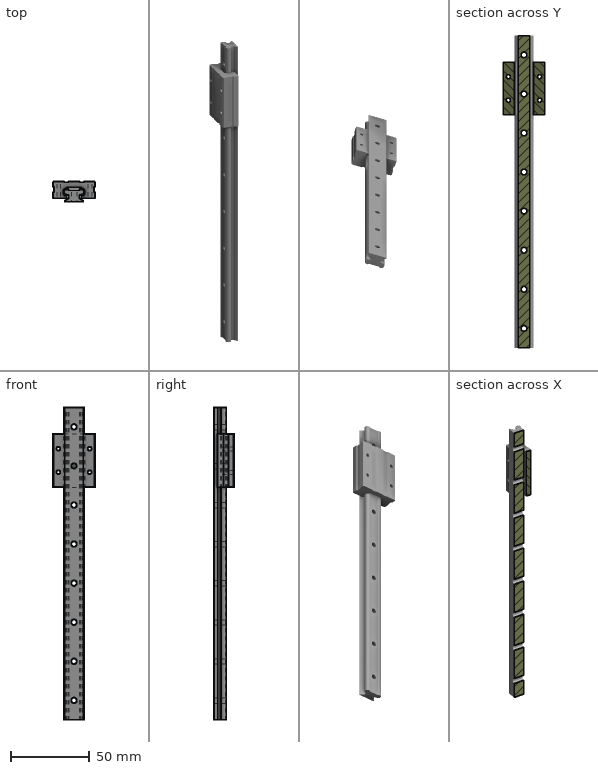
import cadquery as cq
import math

rail_length = 200.0
rail_height = 8.0
foot_half_width = 6.0
foot_corner_width = 0.2
foot_edge_height = 0.8
neck_half_width = 3.5
neck_bottom = 2.5
neck_top = 4.2
head_center_x = 4.5
head_center_y = 6.2
head_radius = 1.9
head_lower_angle = -55.0
channel_half_width = 4.0
channel_floor_half_width = 3.2
channel_depth = 0.5

rail_hole_diameter = 3.5
rail_hole_pitch = 25.0
rail_hole_count = 8

carriage_width = 27.0
carriage_length = 34.0
carriage_start = 149.0
carriage_bottom = 2.2
carriage_top = 13.0
top_chamfer = 0.5
bottom_chamfer = 0.5
side_groove_bottom = 6.0
side_groove_top = 9.5
side_groove_depth = 0.5
side_groove_slope = 0.3
top_groove_inner = 3.5
top_groove_outer = 6.5
top_groove_depth = 0.5
top_groove_slope = 0.3
mouth_half_width = 4.5
mouth_chamfer = 0.5
bore_roof = 9.0

carriage_hole_diameter = 2.5
carriage_hole_spacing_x = 20.0
carriage_hole_spacing_z = 15.0

liner_thickness = 0.5
bore_radius = head_radius + liner_thickness


def circle_point(radius, angle):
    """Point on a circle around the center of the right-hand head round."""
    turn = math.radians(angle)
    return (head_center_x + radius * math.cos(turn), head_center_y + radius * math.sin(turn))


def mirrored(point):
    return (-point[0], point[1])


def extrude_profile(profile, start, length):
    """Solid along +Z from a closed XY outline."""
    return profile.close().extrude(length).translate((0, 0, start))


head_upper_angle = math.degrees(math.asin((rail_height - head_center_y) / head_radius))
head_upper = circle_point(head_radius, head_upper_angle)
head_side = circle_point(head_radius, 0)
head_lower = circle_point(head_radius, head_lower_angle)

bore_upper = (head_center_x, head_center_y + bore_radius)
bore_side = circle_point(bore_radius, 0)
bore_lower = circle_point(bore_radius, head_lower_angle)


def make_rail():
    foot_flat = foot_half_width - foot_corner_width
    foot_upper = (foot_flat, foot_edge_height)
    foot_side = (foot_half_width, foot_edge_height / 2)
    foot_lower = (foot_flat, 0)
    neck_lower = (neck_half_width, neck_bottom)
    neck_upper = (neck_half_width, neck_top)
    channel_edge = (channel_half_width, rail_height)
    channel_floor = (channel_floor_half_width, rail_height - channel_depth)
    profile = (
        cq.Workplane("XY")
        .moveTo(*foot_lower)
        .threePointArc(foot_side, foot_upper)
        .lineTo(*neck_lower)
        .lineTo(*neck_upper)
        .lineTo(*head_lower)
        .threePointArc(head_side, head_upper)
        .lineTo(*channel_edge)
        .lineTo(*channel_floor)
        .lineTo(*mirrored(channel_floor))
        .lineTo(*mirrored(channel_edge))
        .lineTo(*mirrored(head_upper))
        .threePointArc(mirrored(head_side), mirrored(head_lower))
        .lineTo(*mirrored(neck_upper))
        .lineTo(*mirrored(neck_lower))
        .lineTo(*mirrored(foot_upper))
        .threePointArc(mirrored(foot_side), mirrored(foot_lower))
    )
    rail = extrude_profile(profile, 0, rail_length)
    first_hole = (rail_length - (rail_hole_count - 1) * rail_hole_pitch) / 2
    spots = [(0, first_hole + i * rail_hole_pitch) for i in range(rail_hole_count)]
    return rail.cut(holes_along_y(spots, rail_hole_diameter))


def holes_along_y(spots, diameter):
    """Round cutters through the full depth, at (X, Z) spots."""
    return cq.Workplane("XZ").pushPoints(spots).circle(diameter / 2).extrude(-carriage_top)


def make_carriage():
    half = carriage_width / 2
    groove_x = half - side_groove_depth
    groove_y = carriage_top - top_groove_depth
    right_side = [
        (mouth_half_width + mouth_chamfer, carriage_bottom),
        (half - bottom_chamfer, carriage_bottom),
        (half, carriage_bottom + bottom_chamfer),
        (half, side_groove_bottom),
        (groove_x, side_groove_bottom + side_groove_slope),
        (groove_x, side_groove_top - side_groove_slope),
        (half, side_groove_top),
        (half, carriage_top - top_chamfer),
        (half - top_chamfer, carriage_top),
        (top_groove_outer, carriage_top),
        (top_groove_outer - top_groove_slope, groove_y),
        (top_groove_inner + top_groove_slope, groove_y),
        (top_groove_inner, carriage_top),
    ]
    left_side = [mirrored(point) for point in reversed(right_side)]
    mouth_lower = (mouth_half_width, carriage_bottom + mouth_chamfer)
    mouth_upper = (mouth_half_width, bore_lower[1])
    roof_corner = (mouth_half_width, bore_roof)
    profile = (
        cq.Workplane("XY")
        .polyline(right_side + left_side)
        .lineTo(*mirrored(mouth_lower))
        .lineTo(*mirrored(mouth_upper))
        .lineTo(*mirrored(bore_lower))
        .threePointArc(mirrored(bore_side), mirrored(bore_upper))
        .lineTo(*mirrored(roof_corner))
        .lineTo(*roof_corner)
        .lineTo(*bore_upper)
        .threePointArc(bore_side, bore_lower)
        .lineTo(*mouth_upper)
        .lineTo(*mouth_lower)
    )
    carriage = extrude_profile(profile, carriage_start, carriage_length)
    middle = carriage_start + carriage_length / 2
    hole_x = carriage_hole_spacing_x / 2
    hole_z = carriage_hole_spacing_z / 2
    spots = [(x, middle + z) for x in (-hole_x, hole_x) for z in (-hole_z, hole_z)]
    return carriage.cut(holes_along_y(spots, carriage_hole_diameter))


def make_liner(side):
    """Liner on the -X side (side = -1) or the +X side (side = 1)."""
    profile = (
        cq.Workplane("XY")
        .moveTo(*head_lower)
        .threePointArc(head_side, head_upper)
        .lineTo(*bore_upper)
        .threePointArc(bore_side, bore_lower)
    )
    liner = extrude_profile(profile, carriage_start, carriage_length)
    return liner if side > 0 else liner.mirror("YZ")


rail = make_rail()
carriage = make_carriage()
liners = []
for side in (-1, 1):
    liners.append(make_liner(side).val())

result = cq.Compound.makeCompound([rail.val(), carriage.val(), *liners])